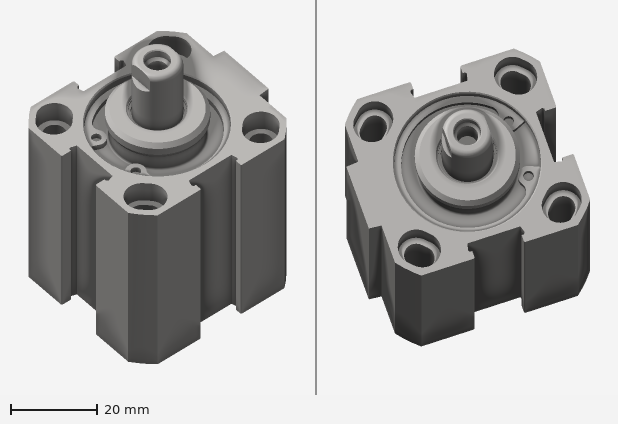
import cadquery as cq
import math

housing_width = 46.0
half_width = housing_width / 2
half_depth = 24.0
housing_height = 49.5
corner_radius = 29.95
rail_top = 27.0
rail_outer_half_width = 8.05
rail_root_half_width = 8.3

groove_mouth_half_width = 6.05
groove_lip_half_width = 6.6
groove_wide_half_width = 7.0
groove_floor_half_width = 6.5
groove_undercut_slope = 0.4
groove_inner_depth = 2.1
side_lip = 1.9
front_lip = 2.8
groove_mouth_fillet = 0.35
groove_floor_fillet = 0.2

mount_x = 16.5
mount_y = 17.5
mount_hole_width = 5.65
mount_recess_width = 8.6
mount_oblong_shift = 1.6
mount_recess_depth = 5.7

bore_diameter = 34.1
bore_chamfer = 0.3
ring_outer_diameter = 35.8
ring_inner_diameter = 30.9
ring_thickness = 1.5
ring_depth = 2.1
ring_top = housing_height - ring_depth
ring_bottom = ring_top - ring_thickness
ear_x = 7.1
ear_y = -12.55
ear_diameter = 4.9
ear_hole_diameter = 2.5
ear_fillet = 2.5
ring_gap_half_angle = math.radians(24)

collar_diameter = 24.5
collar_top = 54.5
collar_chamfer = 1.05
collar_cone_top = 51.5
neck_diameter = 23.0
neck_top = 50.05
neck_fillet = 0.5
flange_thickness = 6.0
flange_bottom = ring_bottom - flange_thickness
wiper_mouth_diameter = 14.7
wiper_rim_diameter = 14.0
wiper_rim_depth = 0.3
wiper_diameter = 13.7
wiper_ledge_depth = 0.55
wiper_depth = 1.1
relief_diameter = 12.55
relief_depth = 2.0

rod_diameter = 12.0
rod_top = 70.5
rod_fillet = 1.4
flat_spacing = 10.0
flat_bottom = 66.0
tap_mouth_diameter = 6.8
tap_diameter = 6.3
tap_depth = 2.25
core_diameter = 4.9
core_depth = 9.9


def cylinder(diameter, bottom, top):
    return cq.Workplane("XY").workplane(offset=bottom).circle(diameter / 2).extrude(top - bottom)


def housing_blank():
    block = cq.Workplane("XY").rect(housing_width, 2 * half_depth).extrude(housing_height)
    block = block.intersect(cylinder(2 * corner_radius, 0, housing_height))
    rail = (
        cq.Workplane("XY")
        .moveTo(-rail_root_half_width, 0)
        .lineTo(-rail_root_half_width, half_depth)
        .lineTo(-rail_outer_half_width, rail_top)
        .lineTo(rail_outer_half_width, rail_top)
        .lineTo(rail_root_half_width, half_depth)
        .lineTo(rail_root_half_width, 0)
        .close()
        .extrude(housing_height)
    )
    return block.union(rail)


def sensor_groove(face_distance, lip, turn):
    """Cutter for an undercut groove in the -Y face at the given distance, turned about the Z axis."""
    half_profile = [
        (groove_mouth_half_width + groove_mouth_fillet, 0),
        (groove_mouth_half_width, groove_mouth_fillet),
        (groove_mouth_half_width, lip),
        (groove_lip_half_width, lip),
        (groove_wide_half_width, lip + groove_undercut_slope),
        (groove_floor_half_width, lip + groove_inner_depth),
    ]
    start, *others = [(x, depth - face_distance) for x, depth in half_profile]
    arc_centre = (start[0], others[0][1])
    arc_reach = groove_mouth_fillet * math.sqrt(0.5)
    arc_middle = (arc_centre[0] - arc_reach, arc_centre[1] - arc_reach)

    def mirrored(point):
        return (-point[0], point[1])

    outline = cq.Workplane("XY").moveTo(*start).threePointArc(arc_middle, others[0])
    for point in others[1:]:
        outline = outline.lineTo(*point)
    for point in reversed(others):
        outline = outline.lineTo(*mirrored(point))
    outline = outline.threePointArc(mirrored(arc_middle), mirrored(start)).close()
    groove = outline.extrude(housing_height)
    groove = groove.faces(">Y").edges("|Z").fillet(groove_floor_fillet)
    return groove.rotate((0, 0, 0), (0, 0, 1), turn)


def mounting_hole(side_x, side_y):
    def oblong(width, bottom):
        return (
            cq.Workplane("XY")
            .workplane(offset=bottom)
            .center(side_x * mount_x, side_y * mount_y)
            .slot2D(width + mount_oblong_shift, width, -45 * side_x * side_y)
            .extrude(housing_height - bottom)
        )

    recess = oblong(mount_recess_width, housing_height - mount_recess_depth)
    return oblong(mount_hole_width, 0).union(recess)


def make_housing():
    housing = housing_blank()
    housing = housing.cut(sensor_groove(half_depth, front_lip, 0))
    for turn in (-90, 90):
        housing = housing.cut(sensor_groove(half_width, side_lip, turn))
    for side_x in (-1, 1):
        for side_y in (-1, 1):
            housing = housing.cut(mounting_hole(side_x, side_y))
    bore = cylinder(bore_diameter, flange_bottom, housing_height)
    bore_edge = (
        cq.Workplane("XY")
        .workplane(offset=housing_height)
        .circle(bore_diameter / 2 + bore_chamfer)
        .workplane(offset=-bore_chamfer)
        .circle(bore_diameter / 2)
        .loft()
    )
    ring_groove = cylinder(ring_outer_diameter, ring_bottom, ring_top)
    return housing.cut(bore).cut(bore_edge).cut(ring_groove)


def make_retaining_ring():
    """Internal circlip with two pierced ears, whose straight feet lie along a wedge-shaped gap."""
    plane = cq.Workplane("XY").workplane(offset=ring_bottom)
    ear_radius = ear_diameter / 2
    gap_sine = math.sin(ring_gap_half_angle)
    gap_cosine = math.cos(ring_gap_half_angle)
    band = plane.circle(ring_outer_diameter / 2).circle(ring_inner_diameter / 2).extrude(ring_thickness)

    gap_apex_y = ear_y + (ear_x * gap_cosine - ear_radius) / gap_sine
    gap_end_y = -ring_outer_diameter / 2
    gap_end_x = (gap_apex_y - gap_end_y) * gap_sine / gap_cosine
    gap = plane.polyline([(0, gap_apex_y), (-gap_end_x, gap_end_y), (gap_end_x, gap_end_y)])
    ring = band.cut(gap.close().extrude(ring_thickness))

    ear_centres = [(side * ear_x, ear_y) for side in (-1, 1)]
    for side, ear_centre in zip((-1, 1), ear_centres):
        ear = plane.center(*ear_centre).circle(ear_radius).extrude(ring_thickness)
        foot = (
            plane.center(*ear_centre)
            .transformed(rotate=(0, 0, side * math.degrees(ring_gap_half_angle)))
            .center(-side * ear_radius / 2, -ear_radius / 2)
            .rect(ear_radius, ear_radius)
            .extrude(ring_thickness)
        )
        ring = ring.union(ear).union(foot)
        corner = (side * (ear_x + ear_radius), ear_y, ring_bottom + ring_thickness / 2)
        ring = ring.edges("|Z").edges(cq.selectors.NearestToPointSelector(corner)).fillet(ear_fillet)
    holes = plane.pushPoints(ear_centres).circle(ear_hole_diameter / 2).extrude(ring_thickness)
    return ring.cut(holes)


def make_collar():
    """Stepped collar, with a recess around the rod at its top and a flange under the ring."""
    wiper_floor = collar_top - wiper_depth
    relief_floor = collar_top - relief_depth
    collar = (
        cq.Workplane("XZ")
        .moveTo(rod_diameter / 2, flange_bottom)
        .lineTo(bore_diameter / 2, flange_bottom)
        .lineTo(bore_diameter / 2, ring_bottom)
        .lineTo(neck_diameter / 2 + neck_fillet, ring_bottom)
        .radiusArc((neck_diameter / 2, ring_bottom + neck_fillet), neck_fillet)
        .lineTo(neck_diameter / 2, neck_top)
        .lineTo(collar_diameter / 2, collar_cone_top)
        .lineTo(collar_diameter / 2, collar_top - collar_chamfer)
        .lineTo(collar_diameter / 2 - collar_chamfer, collar_top)
        .lineTo(wiper_mouth_diameter / 2, collar_top)
        .lineTo(wiper_rim_diameter / 2, collar_top - wiper_rim_depth)
        .lineTo(wiper_rim_diameter / 2, collar_top - wiper_ledge_depth)
        .lineTo(wiper_diameter / 2, collar_top - wiper_ledge_depth)
        .lineTo(wiper_diameter / 2, wiper_floor)
        .lineTo(relief_diameter / 2, wiper_floor)
        .lineTo(relief_diameter / 2, relief_floor)
        .lineTo(rod_diameter / 2, relief_floor)
        .close()
    )
    return collar.revolve(360, (0, 0, 0), (0, 1, 0))


def tapped_hole():
    mouth_chamfer = (tap_mouth_diameter - tap_diameter) / 2
    tap_end = rod_top - tap_depth
    core_start = tap_end - (tap_diameter - core_diameter) / 2
    core_end = rod_top - core_depth
    profile = [
        (0, rod_top),
        (tap_mouth_diameter / 2, rod_top),
        (tap_diameter / 2, rod_top - mouth_chamfer),
        (tap_diameter / 2, tap_end),
        (core_diameter / 2, core_start),
        (core_diameter / 2, core_end),
        (0, core_end),
    ]
    return cq.Workplane("XZ").polyline(profile).close().revolve(360, (0, 0, 0), (0, 1, 0))


def wrench_flat(side):
    """Cutter for one flat on the +Y or -Y side, ending in a 45 degree slope."""
    slope = (rod_diameter - flat_spacing) / 2
    section = [
        (side * flat_spacing / 2, rod_top),
        (side * flat_spacing / 2, flat_bottom),
        (side * rod_diameter / 2, flat_bottom - slope),
        (side * rod_diameter / 2, rod_top),
    ]
    return cq.Workplane("YZ").polyline(section).close().extrude(rod_diameter / 2, both=True)


def make_rod():
    rod = cylinder(rod_diameter, flange_bottom, rod_top).faces(">Z").edges().fillet(rod_fillet)
    for side in (-1, 1):
        rod = rod.cut(wrench_flat(side))
    return rod.cut(tapped_hole())


housing = make_housing()
retaining_ring = make_retaining_ring()
collar = make_collar()
rod = make_rod()

result = cq.Compound.makeCompound([housing.val(), retaining_ring.val(), collar.val(), rod.val()])